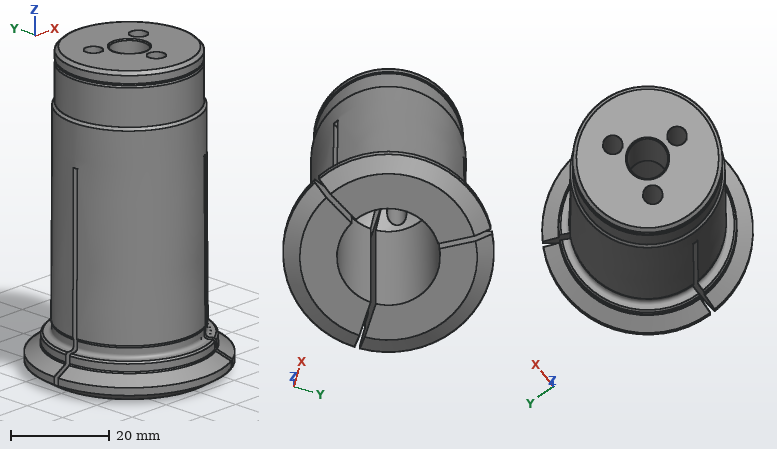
import cadquery as cq
import math

height = 70

spigot_dia = 30.5
spigot_bottom = 58.0
top_chamfer = 0.8
groove_top = 67.4
groove_bottom = 66.6
groove_depth = 0.2

body_top_dia = 31.6
body_bottom_dia = 32.05
body_top = 57.4
body_bottom = 10.85
neck_dia = 31.65
neck_top = 10.35
neck_fillet = 0.85

collar_dia = 36.2
collar_top = 8.1
collar_chamfer = 0.4
collar_edge = 6.0
collar_foot = 5.7
collar_foot_flare = 0.15
flange_dia = 43.0
flange_rim_top = 3.8
flange_rim_bottom = 2.1
flange_base_dia = 36.1

bore_dia = 21
bore_depth = 43.2
centre_hole_dia = 8.3
centre_hole_mouth_dia = 8.9

small_hole_dia = 4.0
small_hole_count = 3
small_hole_circle_radius = 7.6
small_hole_start_angle = 30

slot_count = 3
slot_width = 1.1
slot_top = 47.7
slot_start_angle = 60


def turned(outline):
    """Close a (radius, z) outline and revolve it about the Z axis."""
    return outline.close().revolve(360, (0, 0), (0, 1))


def outer_body():
    spigot_radius = spigot_dia / 2
    groove_radius = spigot_radius - groove_depth
    collar_radius = collar_dia / 2
    neck_radius = neck_dia / 2
    fillet_middle = neck_fillet * (1 - math.sqrt(0.5))
    outline = (
        cq.Workplane("XZ")
        .moveTo(0, 0)
        .lineTo(flange_base_dia / 2, 0)
        .lineTo(flange_dia / 2, flange_rim_bottom)
        .lineTo(flange_dia / 2, flange_rim_top)
        .lineTo(collar_radius + collar_foot_flare, collar_foot)
        .lineTo(collar_radius, collar_edge)
        .lineTo(collar_radius, collar_top - collar_chamfer)
        .lineTo(collar_radius - collar_chamfer, collar_top)
        .lineTo(neck_radius + neck_fillet, collar_top)
        .threePointArc(
            (neck_radius + fillet_middle, collar_top + fillet_middle),
            (neck_radius, collar_top + neck_fillet),
        )
        .lineTo(neck_radius, neck_top)
        .lineTo(body_bottom_dia / 2, body_bottom)
        .lineTo(body_top_dia / 2, body_top)
        .lineTo(spigot_radius, spigot_bottom)
        .lineTo(spigot_radius, groove_bottom)
        .lineTo(groove_radius, (groove_bottom + groove_top) / 2)
        .lineTo(groove_radius, groove_top)
        .lineTo(spigot_radius, groove_top)
        .lineTo(spigot_radius, height - top_chamfer)
        .lineTo(spigot_radius - top_chamfer, height)
        .lineTo(0, height)
    )
    return turned(outline)


def bore():
    bore_radius = bore_dia / 2
    hole_radius = centre_hole_dia / 2
    mouth_radius = centre_hole_mouth_dia / 2
    outline = cq.Workplane("XZ").polyline([
        (0, 0),
        (bore_radius, 0),
        (bore_radius, bore_depth),
        (hole_radius, bore_depth + bore_radius - hole_radius),
        (hole_radius, height - (mouth_radius - hole_radius)),
        (mouth_radius, height),
        (0, height),
    ])
    return turned(outline)


def small_holes():
    return (
        cq.Workplane("XY")
        .workplane(offset=bore_depth)
        .polarArray(small_hole_circle_radius, small_hole_start_angle, 360, small_hole_count)
        .circle(small_hole_dia / 2)
        .extrude(height - bore_depth)
    )


def slot(angle):
    """Radial slot from the axis outwards, open at the bottom."""
    return (
        cq.Workplane("XY")
        .box(flange_dia, slot_width, slot_top, centered=(False, True, False))
        .rotate((0, 0, 0), (0, 0, 1), angle)
    )


result = outer_body().cut(bore()).cut(small_holes())
for index in range(slot_count):
    result = result.cut(slot(slot_start_angle + index * 360 / slot_count))